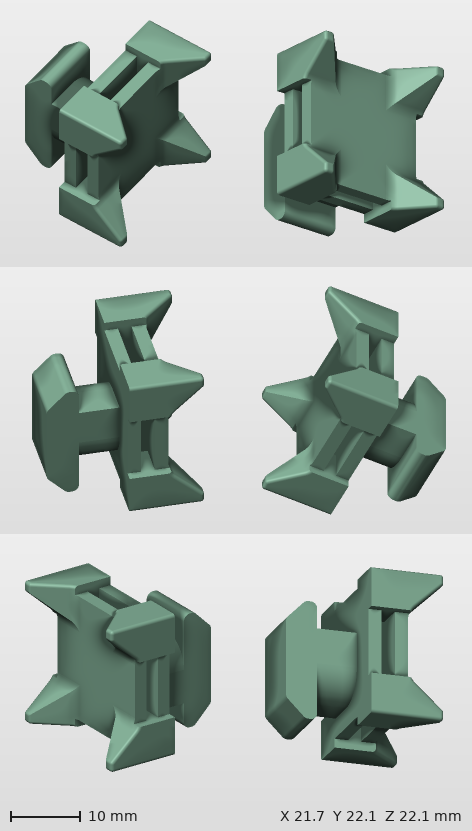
import cadquery as cq

body_side = 22.1
web_end = 6.01
wall_thickness = web_end / 3
body_depth = 11.0
notch_width = 10.12
notch_depth = 1.35
channel_mouth_width = 19.14
channel_fillet = 2.0
edge_fillet = 0.49

stud_width = 9.37
stud_z = -1.85
neck_length = 6.0
neck_height = 9.85
neck_fillet = 4.57
head_thickness = 4.7
head_height = 17.83
head_chamfer = 2.95
head_fillet = 1.0


def box_between(x_start, x_end, y_size, z_size):
    """Box between two X positions, centred on the X axis."""
    return cq.Workplane("YZ", origin=(x_start, 0, 0)).rect(y_size, z_size).extrude(x_end - x_start)


def quarter_turn(shape):
    """Turn a shape 90 degrees about the X axis."""
    return shape.rotate((0, 0, 0), (1, 0, 0), 90)


def make_channel():
    """Flared channel along Y that separates the horns, with rounded floor corners."""
    channel = (
        cq.Workplane("XZ")
        .moveTo(web_end, -notch_width / 2)
        .lineTo(web_end, notch_width / 2)
        .lineTo(body_depth, channel_mouth_width / 2)
        .lineTo(body_depth, -channel_mouth_width / 2)
        .close()
        .extrude(body_side, both=True)
    )
    return channel.edges("<X").fillet(channel_fillet)


def make_body():
    body = box_between(0, body_depth, body_side, body_side)
    channel = make_channel()
    body = body.cut(channel).cut(quarter_turn(channel))

    side_faces = body.faces("<Y or >Y or <Z or >Z")
    mount_edges = body.faces("<X").edges()
    outer_edges = side_faces.edges().add(body.faces(">X").edges())
    rounded_edges = [e for e in outer_edges.vals() if not any(e.isSame(m) for m in mount_edges.vals())]
    body = body.newObject(rounded_edges).fillet(edge_fillet)

    core_side = body_side - 2 * notch_depth
    notches = box_between(0, body_depth, body_side, notch_width)
    notches = notches.cut(box_between(0, body_depth, core_side, notch_width))
    slot = box_between(wall_thickness, 2 * wall_thickness, body_side, notch_width)
    for cutter in (notches, slot):
        body = body.cut(cutter).cut(quarter_turn(cutter))
    return body


def make_neck():
    """Neck rounded on two opposite corners, so that the stud can turn in its slot."""
    neck = box_between(-neck_length, 0, stud_width, neck_height)
    rounded = neck.edges("|X").edges("(<Y and <Z) or (>Y and >Z)")
    return rounded.fillet(neck_fillet).translate((0, 0, stud_z))


def make_head():
    head = box_between(-neck_length - head_thickness, -neck_length, stud_width, head_height)
    head = head.faces("<X").edges("|Y").chamfer(head_chamfer)
    return head.edges("|Y").fillet(head_fillet).translate((0, 0, stud_z))


result = make_body().union(make_neck()).union(make_head())